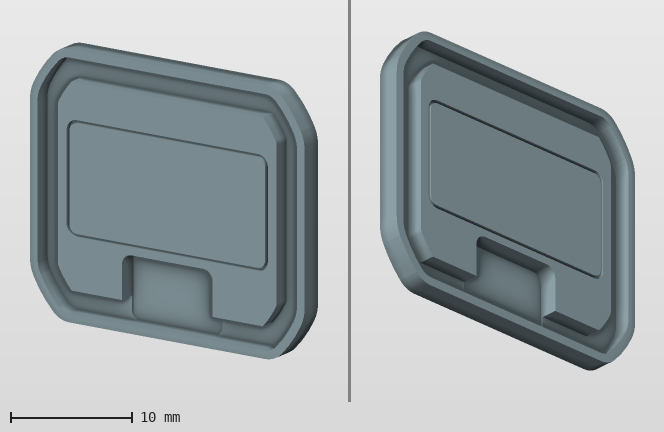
import cadquery as cq
import math

width = 27.05
height = 23.4
thickness = 2.0

top_flat_half = 9.63
side_flat_half = 6.7
top_arc_radius = 2.25
side_arc_radius = 3.65
middle_arc_radius = 10.82

rim_width = 0.75
island_inset = 2.75
tray_depth = 1.5

groove_length = 19.8
groove_height = 10.0
groove_center_z = 0.7
groove_width = 0.27
groove_depth = 0.5
groove_corner_radius = 1.0

notch_width = 8.93
notch_top_z = -4.98
notch_bottom_z = -11.05
notch_depth = 1.7
notch_corner_radius = 0.95

front_y = -thickness / 2


def front_plane():
    """XZ workplane on the front face; negative extrusion runs into the part (+Y)."""
    return cq.Workplane("XZ", origin=(0, front_y, 0))


def arc_point(center, radius, angle):
    return (center[0] + radius * math.cos(angle), center[1] + radius * math.sin(angle))


def corner_points():
    """Ends and midpoints of the three arcs of the +X +Z corner, from side to top."""
    side_center = (width / 2 - side_arc_radius, side_flat_half)
    top_center = (top_flat_half, height / 2 - top_arc_radius)

    to_side = middle_arc_radius - side_arc_radius
    to_top = middle_arc_radius - top_arc_radius
    delta_x = top_center[0] - side_center[0]
    delta_z = top_center[1] - side_center[1]
    spacing = math.hypot(delta_x, delta_z)
    cos_at_side = (to_side**2 + spacing**2 - to_top**2) / (2 * to_side * spacing)
    direction = math.atan2(delta_z, delta_x) + math.acos(cos_at_side)
    middle_center = arc_point(side_center, to_side, direction)

    side_joint = math.atan2(side_center[1] - middle_center[1], side_center[0] - middle_center[0])
    top_joint = math.atan2(top_center[1] - middle_center[1], top_center[0] - middle_center[0])
    return [
        arc_point(side_center, side_arc_radius, 0),
        arc_point(side_center, side_arc_radius, side_joint / 2),
        arc_point(side_center, side_arc_radius, side_joint),
        arc_point(middle_center, middle_arc_radius, (side_joint + top_joint) / 2),
        arc_point(top_center, top_arc_radius, top_joint),
        arc_point(top_center, top_arc_radius, (top_joint + math.pi / 2) / 2),
        arc_point(top_center, top_arc_radius, math.pi / 2),
    ]


def plate_outline():
    """Closed outline, counterclockwise, with the same corner mirrored into all four places."""
    side_to_top = corner_points()
    top_to_side = side_to_top[::-1]
    corners = [
        (1, 1, side_to_top),
        (-1, 1, top_to_side),
        (-1, -1, side_to_top),
        (1, -1, top_to_side),
    ]
    outline = front_plane().moveTo(width / 2, 0)
    for sign_x, sign_z, points in corners:
        placed = [(sign_x * x, sign_z * z) for x, z in points]
        outline = outline.lineTo(*placed[0])
        for middle, end in zip(placed[1::2], placed[2::2]):
            outline = outline.threePointArc(middle, end)
    return outline.close()


def inset_block(inset, depth):
    """Block from the front face inward, its outline inset from the plate outline."""
    return plate_outline().offset2D(-inset).extrude(-depth)


def rounded_block(length, block_height, center_z, radius, depth):
    """Rounded rectangular block from the front face inward, centred on X = 0."""
    block = front_plane().center(0, center_z).rect(length, block_height).extrude(-depth)
    return block.edges("|Y").fillet(radius)


def groove():
    outer = rounded_block(
        groove_length, groove_height, groove_center_z, groove_corner_radius, groove_depth
    )
    inner = rounded_block(
        groove_length - 2 * groove_width,
        groove_height - 2 * groove_width,
        groove_center_z,
        groove_corner_radius - groove_width,
        groove_depth,
    )
    return outer.cut(inner)


def notch():
    """Rounded notch, kept inside the rim so that the rim stays whole."""
    block = rounded_block(
        notch_width,
        notch_top_z - notch_bottom_z,
        (notch_top_z + notch_bottom_z) / 2,
        notch_corner_radius,
        notch_depth,
    )
    return block.intersect(inset_block(rim_width, notch_depth))


plate = plate_outline().extrude(-thickness)
tray = inset_block(rim_width, tray_depth).cut(inset_block(island_inset, tray_depth))
result = plate.cut(tray).cut(groove()).cut(notch())